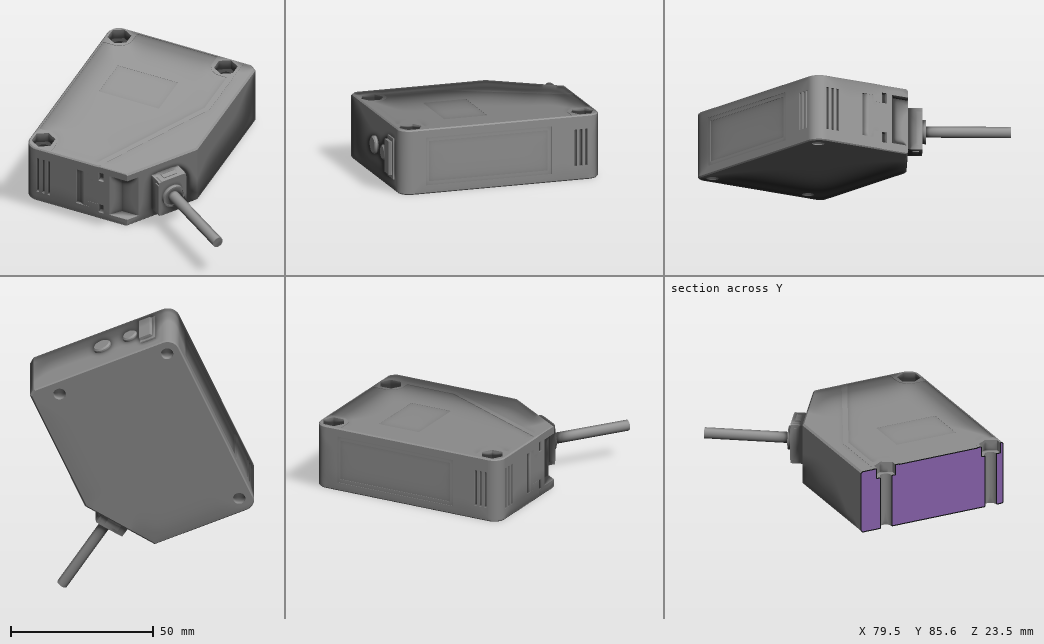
import cadquery as cq
import math

overall_depth = 85.6
body_width = 56.0
body_depth = 74.4
body_height = 23.5
mid_height = body_height / 2
corner_radius = 4.45
rear_chamfer_x = 2.05
rear_chamfer_y = 1.7
slant_start_x = 39.7
slant_end_y = 23.7
edge_chamfer = 0.4
cover_edge_chamfer = 0.7

pocket_left_x = 4.9
pocket_right_x = 46.1
pocket_front_y = 5.5
pocket_rear_y = 69.35
hole_diameter = 4.4
hex_across_flats = 7.3
hex_depth = 3.85
pad_radius = 5.1
nut_centers = [
    (pocket_left_x, pocket_front_y),
    (pocket_left_x, pocket_rear_y),
    (pocket_right_x, pocket_rear_y),
]

panel_recess = 0.2
panel_margin = 1.0
panel_right_x = 48.8
panel_bend_y = 45.55
panel_front_x = 26.9
label_x, label_y = 11.1, 38.5
label_width, label_length = 23.2, 16.0
label_recess = 0.1

cover_setback = 0.1
cover_rear_x = 50.85
cover_front_x = 28.6
tongue_tip_x = 22.8
tongue_neck_x = 24.8
tongue_head_height = 15.15
tongue_neck_height = 10.5

catch_left_x = 20.0
catch_floor_end_x = 21.3
catch_depth = 1.0
window_width = 2.05
window_height = 3.7
window_depth = 2.1

notch_left_x = 32.8
notch_floor_x = 35.95
notch_floor_y = 3.85
notch_height = 17.4

frame_y, frame_length, frame_height = 18.6, 46.6, 17.4
lens_y, lens_length, lens_height = 19.95, 44.1, 14.6
lens_step = 0.2
slot_count = 3
slot_width = 1.0
slot_depth = 1.3
front_slot_x, front_slot_pitch, front_slot_height = 4.6, 2.1, 15.15
left_slot_y, left_slot_pitch, left_slot_height = 5.05, 2.0, 13.35

control_height = 1.4
selector_x, selector_width = 7.0, 5.7
selector_base_height, selector_base_length = 0.6, 14.8
selector_cap_inset, selector_cap_length = 0.9, 12.1
selector_height = 1.7
selector_chamfer = 0.7
knob_centers_x = (16.7, 27.3)
knob_diameters = (5.5, 6.5)
knob_chamfer = 0.5

connector_x = 48.45
connector_length = 5.3
connector_width = 10.9
connector_height = 14.8
side_pad_start, side_pad_height, side_pad_rise = 3.2, 12.15, 0.25
plate_width, plate_rise, plate_corner = 8.9, 0.2, 1.0
latch_start, latch_end, latch_width = 1.5, 4.0, 5.4
latch_ramp, latch_rise = 0.6, 0.3
collar_diameter, collar_bore = 8.6, 7.4
collar_length, collar_recess = 1.3, 0.7
cable_diameter = 3.9
root = 0.85

slant_angle = math.degrees(math.atan2(slant_end_y, body_width - slant_start_x))
connector_y = (connector_x - slant_start_x) * math.tan(math.radians(slant_angle))
cable_overhang = overall_depth - body_depth - selector_height
cable_drop = connector_y + cable_overhang - cable_diameter / 2 * math.sin(math.radians(slant_angle))
cable_reach = cable_drop / math.cos(math.radians(slant_angle))


def block(x0, x1, y0, y1, z0, z1):
    return cq.Workplane("XY").box(x1 - x0, y1 - y0, z1 - z0, centered=False).translate((x0, y0, z0))


def centered_block(x0, x1, y0, y1, height):
    """Block whose height is centred on the middle of the body."""
    return block(x0, x1, y0, y1, mid_height - height / 2, mid_height + height / 2)


def prism(points, z0, z1):
    return cq.Workplane("XY").workplane(offset=z0).polyline(points).close().extrude(z1 - z0)


def make_body():
    outline = [
        (0, 0),
        (slant_start_x, 0),
        (body_width, slant_end_y),
        (body_width, body_depth - rear_chamfer_y),
        (body_width - rear_chamfer_x, body_depth),
        (0, body_depth),
    ]
    body = prism(outline, 0, body_height)
    body = body.edges("|Z and <X").fillet(corner_radius)
    slanted_edges = cq.selectors.ParallelDirSelector(cq.Vector(body_width - slant_start_x, slant_end_y, 0))
    corner_edges = cq.selectors.ParallelDirSelector(cq.Vector(rear_chamfer_x, -rear_chamfer_y, 0))
    right_edges = cq.selectors.StringSyntaxSelector(">X")
    cover_edges = slanted_edges + corner_edges + right_edges
    body = body.faces("<Z or >Z").edges(cover_edges).chamfer(cover_edge_chamfer)
    return body.faces("<Z or >Z").edges("<X or <Y or >Y").chamfer(edge_chamfer)


def cut_cover_setback(body):
    rear_y = body_depth + 0.85
    top_region = [
        (cover_front_x, 0),
        (cover_rear_x, panel_bend_y),
        (cover_rear_x, rear_y),
        (body_width, rear_y),
        (body_width, 0),
    ]
    body = body.cut(prism(top_region, body_height - cover_setback, body_height))
    face = block(cover_front_x, slant_start_x, 0, cover_setback, 0, body_height)
    neck = centered_block(tongue_neck_x, cover_front_x, 0, cover_setback, tongue_neck_height)
    head = centered_block(tongue_tip_x, tongue_neck_x, 0, cover_setback, tongue_head_height)
    return body.cut(face).cut(neck).cut(head)


def cut_panel(body):
    floor_z = body_height - panel_recess
    outline = [
        (panel_margin, panel_margin),
        (panel_front_x, panel_margin),
        (panel_right_x, panel_bend_y),
        (panel_right_x, body_depth - panel_margin),
        (panel_margin, body_depth - panel_margin),
    ]
    panel = prism(outline, floor_z, body_height)
    reach = 2 * pad_radius
    for x, y in nut_centers:
        pad = cq.Workplane("XY").circle(pad_radius).extrude(body_height)
        pad = pad.union(block(-reach, 0, -pad_radius, pad_radius, 0, body_height))
        pad = pad.union(block(-pad_radius, pad_radius, -reach, 0, 0, body_height))
        if x > body_width / 2:
            pad = pad.mirror("YZ")
        if y > body_depth / 2:
            pad = pad.mirror("XZ")
        panel = panel.cut(pad.translate((x, y, 0)))
    label_z = floor_z - label_recess
    label = block(label_x, label_x + label_width, label_y, label_y + label_length, label_z, body_height)
    return body.cut(panel).cut(label)


def cut_nut_pockets(body):
    hex_diameter = hex_across_flats / math.cos(math.radians(30))
    holes = cq.Workplane("XY").pushPoints(nut_centers).circle(hole_diameter / 2).extrude(body_height)
    body = body.cut(holes)
    for x, y in nut_centers:
        pocket = cq.Workplane("XY").polygon(6, hex_diameter).extrude(hex_depth)
        pocket = pocket.rotate((0, 0, 0), (0, 0, 1), 30)
        body = body.cut(pocket.translate((x, y, body_height - hex_depth)))
    return body


def cut_catches(body):
    profile = [
        (catch_left_x, 0),
        (tongue_tip_x, 0),
        (tongue_tip_x, cover_setback),
        (catch_floor_end_x, catch_depth),
        (catch_left_x, catch_depth),
    ]
    half_head = tongue_head_height / 2
    body = body.cut(prism(profile, mid_height - half_head, mid_height + half_head))
    window = block(cover_front_x, cover_front_x + window_width, 0, window_depth, 0, window_height)
    for bottom in (tongue_neck_height / 2, -tongue_neck_height / 2 - window_height):
        body = body.cut(window.translate((0, 0, mid_height + bottom)))
    return body


def cut_notch(body):
    profile = [
        (notch_left_x, 0),
        (notch_floor_x, notch_floor_y),
        (body_width, notch_floor_y),
        (body_width, 0),
    ]
    return body.cut(prism(profile, mid_height - notch_height / 2, mid_height + notch_height / 2))


def cut_lens(body):
    frame = centered_block(0, lens_step, frame_y, frame_y + frame_length, frame_height)
    lens = centered_block(0, 2 * lens_step, lens_y, lens_y + lens_length, lens_height)
    return body.cut(frame).cut(lens)


def cut_grip_slots(body):
    for i in range(slot_count):
        x = front_slot_x + i * front_slot_pitch
        y = left_slot_y + i * left_slot_pitch
        body = body.cut(centered_block(x, x + slot_width, 0, slot_depth, front_slot_height))
        body = body.cut(centered_block(0, slot_depth, y, y + slot_width, left_slot_height))
    return body


def add_controls(body):
    y = body_depth - root
    end_x = selector_x + selector_width
    base_y = body_depth + selector_base_height
    base = centered_block(selector_x, end_x, y, base_y, selector_base_length)
    cap_y = body_depth + selector_height
    cap = centered_block(selector_x + selector_cap_inset, end_x, y, cap_y, selector_cap_length)
    cap = cap.edges("|Z and <X and >Y").chamfer(selector_chamfer)
    body = body.union(base).union(cap)
    for x, diameter in zip(knob_centers_x, knob_diameters):
        knob = cq.Workplane("XZ").circle(diameter / 2).extrude(-control_height - root)
        knob = knob.faces(">Y").edges().chamfer(knob_chamfer)
        body = body.union(knob.translate((x, y, mid_height)))
    return body


def make_connector():
    """Connector and cable with the cable along +X and the slanted face at X = 0."""
    half_height = connector_height / 2
    part = cq.Workplane("XY").box(connector_length + root, connector_width, connector_height)
    part = part.translate(((connector_length - root) / 2, 0, 0))
    pad_length = connector_length - side_pad_start
    pads = cq.Workplane("XY").box(pad_length, connector_width + 2 * side_pad_rise, side_pad_height)
    part = part.union(pads.translate((side_pad_start + pad_length / 2, 0, 0)))

    plates = cq.Workplane("XY").box(connector_length, plate_width, connector_height + 2 * plate_rise)
    plates = plates.edges("|Z and <X").chamfer(plate_corner)
    part = part.union(plates.translate((connector_length / 2, 0, 0)))

    plate_z = half_height + plate_rise
    latch_profile = [
        (latch_start, 0),
        (latch_start, plate_z),
        (latch_start + latch_ramp, plate_z + latch_rise),
        (latch_end, plate_z + latch_rise),
        (latch_end, 0),
    ]
    latch = cq.Workplane("XZ").polyline(latch_profile).close().extrude(latch_width / 2, both=True)
    part = part.union(latch).union(latch.mirror("XY"))

    end = connector_length + collar_length
    collar = cq.Workplane("YZ").circle(collar_diameter / 2).extrude(end)
    bore = cq.Workplane("YZ").workplane(offset=end - collar_recess).circle(collar_bore / 2).extrude(end)
    cable = cq.Workplane("YZ").circle(cable_diameter / 2).extrude(cable_reach)
    return part.union(collar).cut(bore).union(cable)


body = make_body()
body = cut_cover_setback(body)
body = cut_panel(body)
body = cut_nut_pockets(body)
body = cut_catches(body)
body = cut_notch(body)
body = cut_lens(body)
body = cut_grip_slots(body)
body = add_controls(body)
connector = make_connector().rotate((0, 0, 0), (0, 0, 1), slant_angle - 90)
result = body.union(connector.translate((connector_x, connector_y, mid_height)))